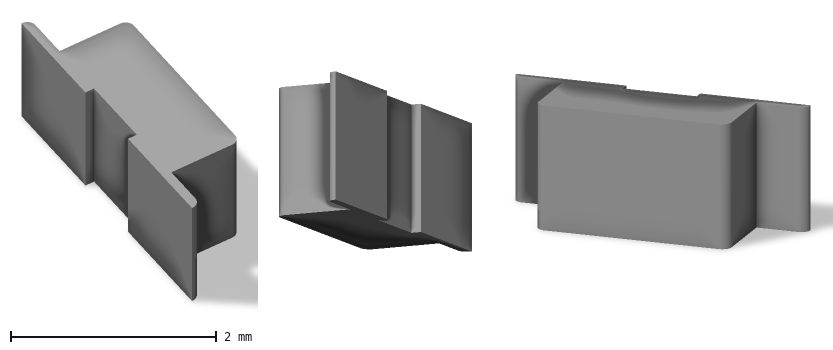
import cadquery as cq

length = 3.05
height = 1.27

chip_length = 2.0
chip_depth = 0.8
cap_length = 0.4
cap_radius = 0.098

pad_gap = 0.762
pad_thickness = 0.1
pad_radius = 0.098

pad_length = (length - pad_gap) / 2
core_length = chip_length - 2 * cap_length
SIDES = (-1, 1)


def block(x_center, y_front, x_size, y_size):
    """Full-height block centred on Z = 0, with its front face at y_front."""
    return (
        cq.Workplane("XY")
        .box(x_size, y_size, height)
        .translate((x_center, y_front + y_size / 2, 0))
    )


def round_outer_back_edge(body, side, radius):
    """Round the vertical edge between the outer end and the back of a body."""
    outer_end = ">X" if side > 0 else "<X"
    return body.faces(outer_end).edges(">Y").fillet(radius)


def make_core():
    """Plain middle of the chip, with its front face at Y = 0."""
    return block(0, 0, core_length, chip_depth)


def make_end_cap(side):
    """End cap that butts against one end of the core."""
    x_center = side * (core_length + cap_length) / 2
    cap = block(x_center, 0, cap_length, chip_depth)
    return round_outer_back_edge(cap, side, cap_radius)


def make_pad(side):
    """Solder pad that lies against the front of the chip and overhangs its end."""
    x_center = side * (pad_gap + pad_length) / 2
    pad = block(x_center, -pad_thickness, pad_length, pad_thickness)
    return round_outer_back_edge(pad, side, pad_radius)


core = make_core()
end_caps = [make_end_cap(side) for side in SIDES]
pads = [make_pad(side) for side in SIDES]

result = cq.Compound.makeCompound(
    [core.val(), *[cap.val() for cap in end_caps], *[pad.val() for pad in pads]]
)